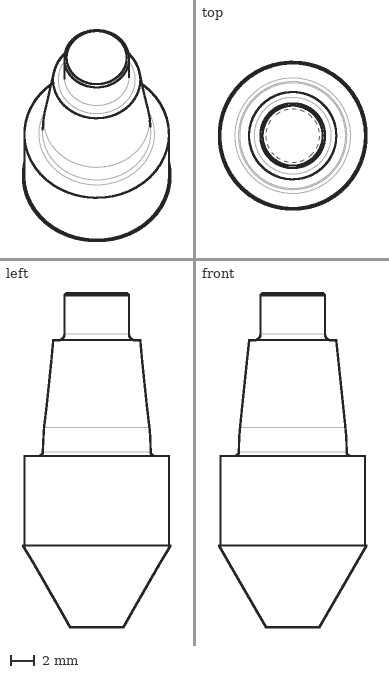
import cadquery as cq
import math

TOTAL_HEIGHT = 28.4
TIP_HEIGHT = 6.95
COLLAR_TOP = 14.57
STUD_HEIGHT = 4.0
NECK_TOP = TOTAL_HEIGHT - STUD_HEIGHT

TIP_TOP_RADIUS = 12.58 / 2
TIP_HALF_ANGLE = math.radians(30)
TIP_END_RADIUS = TIP_TOP_RADIUS - TIP_HEIGHT * math.tan(TIP_HALF_ANGLE)

COLLAR_RADIUS = 12.3 / 2

NECK_BASE_RADIUS = 4.6
NECK_FILLET = 0.3
NECK_TAPER = math.radians(6)
NECK_ARC_RADIUS = 20.0

STUD_RADIUS = 5.5 / 2
STUD_FILLET = 0.5
STUD_CHAMFER = 0.2


def arc_point(center, radius, angle):
    """Point on a circle in the (radius, Z) half-plane."""
    return center[0] + radius * math.cos(angle), center[1] + radius * math.sin(angle)


def root_fillet(profile, wall_radius, floor_z, fillet):
    """Continue the profile from a flat floor up into a vertical wall."""
    center = (wall_radius + fillet, floor_z + fillet)
    middle = arc_point(center, fillet, math.radians(225))
    return (
        profile.lineTo(wall_radius + fillet, floor_z)
        .threePointArc(middle, (wall_radius, floor_z + fillet))
    )


def revolve_profile(profile):
    """Close a half-profile in the XZ plane and turn it around Z."""
    return profile.close().revolve(360, (0, 0, 0), (0, 1, 0))


def make_tip():
    """Truncated cone that widens up to the underside of the shank."""
    profile = (
        cq.Workplane("XZ")
        .lineTo(TIP_END_RADIUS, 0)
        .lineTo(TIP_TOP_RADIUS, TIP_HEIGHT)
        .lineTo(0, TIP_HEIGHT)
    )
    return revolve_profile(profile)


def make_shank():
    """Collar, tapered neck and chamfered stud, turned as one piece."""
    profile = (
        cq.Workplane("XZ")
        .moveTo(0, TIP_HEIGHT)
        .lineTo(COLLAR_RADIUS, TIP_HEIGHT)
        .lineTo(COLLAR_RADIUS, COLLAR_TOP)
    )

    profile = root_fillet(profile, NECK_BASE_RADIUS, COLLAR_TOP, NECK_FILLET)
    arc_center = (NECK_BASE_RADIUS - NECK_ARC_RADIUS, COLLAR_TOP + NECK_FILLET)
    arc_middle = arc_point(arc_center, NECK_ARC_RADIUS, NECK_TAPER / 2)
    arc_end = arc_point(arc_center, NECK_ARC_RADIUS, NECK_TAPER)
    neck_top_radius = arc_end[0] - (NECK_TOP - arc_end[1]) * math.tan(NECK_TAPER)
    profile = profile.threePointArc(arc_middle, arc_end).lineTo(neck_top_radius, NECK_TOP)

    profile = (
        root_fillet(profile, STUD_RADIUS, NECK_TOP, STUD_FILLET)
        .lineTo(STUD_RADIUS, TOTAL_HEIGHT - STUD_CHAMFER)
        .lineTo(STUD_RADIUS - STUD_CHAMFER, TOTAL_HEIGHT)
        .lineTo(0, TOTAL_HEIGHT)
    )
    return revolve_profile(profile)


tip = make_tip()
shank = make_shank()

result = cq.Compound.makeCompound([tip.val(), shank.val()])